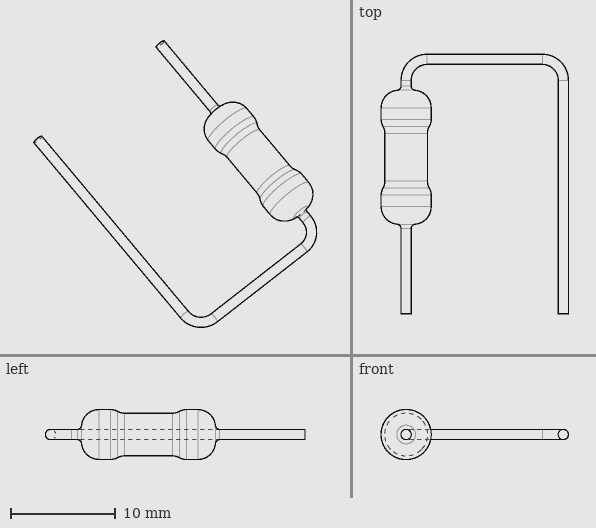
import cadquery as cq

wire_diameter = 1.0
lead_pitch = 15.0
overall_length = 24.8
bend_radius = 2.0

body_centre_y = 14.95
cap_diameter = 4.8
neck_diameter = 4.1

neck_half_length = 2.28
cap_start = 3.62
cap_end = 4.7
dome_end = 6.4
collar_end = 6.8
collar_radius = 0.9

wire_radius = wire_diameter / 2
cap_radius = cap_diameter / 2
neck_radius = neck_diameter / 2
shoulder_radius = (cap_radius + neck_radius) / 2
shoulder_middle = (neck_half_length + cap_start) / 2


def make_body():
    """Revolve one half of the body about Y and turn a copy over for the other half."""
    half = (
        cq.Workplane("XY")
        .lineTo(neck_radius, 0)
        .lineTo(neck_radius, neck_half_length)
        .tangentArcPoint((shoulder_radius, shoulder_middle), relative=False)
        .tangentArcPoint((cap_radius, cap_start), relative=False)
        .lineTo(cap_radius, cap_end)
        .tangentArcPoint((collar_radius, dome_end), relative=False)
        .radiusArc((wire_radius, collar_end), collar_end - dome_end)
        .lineTo(0, collar_end)
        .close()
        .revolve(360, (0, 0, 0), (0, 1, 0))
    )
    other_half = half.rotate((0, 0, 0), (1, 0, 0), 180)
    return half.union(other_half, clean=True).translate((0, body_centre_y, 0))


def make_wire():
    """Sweep the round wire up through the body, across and back down."""
    crossbar_y = overall_length - wire_radius
    bend_start_y = crossbar_y - bend_radius
    path = (
        cq.Workplane("XY")
        .lineTo(0, bend_start_y)
        .tangentArcPoint((bend_radius, crossbar_y), relative=False)
        .lineTo(lead_pitch - bend_radius, crossbar_y)
        .tangentArcPoint((lead_pitch, bend_start_y), relative=False)
        .lineTo(lead_pitch, 0)
    )
    return cq.Workplane("XZ").circle(wire_radius).sweep(path)


result = make_body().union(make_wire())